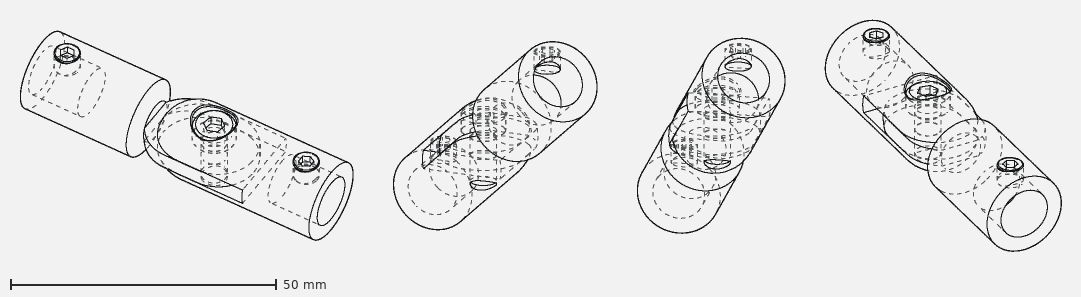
import cadquery as cq
import math

total_length = 63.9
bar_radius = 8.0
arc_middle = bar_radius * math.sqrt(0.5)

bore_radius = 5.0
bore_depth = 10.85
drill_point_angle = 140.0
drill_point_height = bore_radius / math.tan(math.radians(drill_point_angle / 2))

barrel_length = 25.0
shoulder_length = 1.55
shoulder_end_radius = 4.2
tongue_thickness = 3.5
tongue_near_centre_x = 31.75
tongue_far_centre_x = 39.0

nose_centre_x = 34.55
slot_width = 3.7
slot_end_x = 49.05

pivot_x = 38.0
pivot_shank_radius = 2.5
pivot_shank_bottom_z = -7.0
pivot_head_radius = 4.15
pivot_head_chamfer = 0.65
pivot_head_top_z = 6.65
pivot_head_height = 3.5
counterbore_radius = 4.2
counterbore_edge_chamfer = 0.29
counterbore_floor_z = pivot_head_top_z - pivot_head_height
pivot_hex_flats = 3.5
pivot_hex_depth = 1.9
pivot_hex_turn = 20.0

set_screw_end_distance = 5.5
set_screw_radius = 2.5
set_screw_chamfer = 0.2
set_screw_top_z = 8.05
set_screw_bottom_z = 4.3
set_screw_hex_flats = 2.5
set_screw_hex_depth = 1.6
set_screws = [
    (set_screw_end_distance, 0.0),
    (total_length - set_screw_end_distance, 30.0),
]


def turned_about_x(half_profile):
    """Solid of revolution from a half profile whose ends lie on the X axis."""
    return half_profile.close().revolve(360, (0, 0, 0), (1, 0, 0))


def post_along_z(x, bottom_z, top_z, radius):
    return cq.Workplane("XY").workplane(offset=bottom_z).center(x, 0).circle(radius).extrude(top_z - bottom_z)


def slab_along_x(start_x, end_x, thickness):
    """Slab as wide as the bar, centred on the bar's axis in Y and Z."""
    slab = cq.Workplane("XY").box(end_x - start_x, 2 * bar_radius, thickness, centered=(False, True, True))
    return slab.translate((start_x, 0, 0))


def round_nose(centre_x):
    """Half profile that starts at the tip of a ball centred on the axis and rises to the bar's radius."""
    return (
        cq.Workplane("XY")
        .moveTo(centre_x - bar_radius, 0)
        .threePointArc((centre_x - arc_middle, arc_middle), (centre_x, bar_radius))
    )


def bore():
    """Blind bore from X = 0 towards +X, ending in a conical drill point."""
    return turned_about_x(
        cq.Workplane("XY")
        .lineTo(0, bore_radius)
        .lineTo(bore_depth, bore_radius)
        .lineTo(bore_depth + drill_point_height, 0)
    )


def set_screw_hole(x):
    """Radial hole from the bar's axis out through its upper side."""
    return post_along_z(x, 0, 2 * bar_radius, set_screw_radius)


def hex_socket(x, top_z, flats, depth, turn):
    """Hexagonal pocket downwards from top_z, turned about Z by the given degrees."""
    across_corners = flats * 2 / math.sqrt(3)
    return (
        cq.Workplane("XY")
        .polygon(6, across_corners)
        .extrude(-depth)
        .rotate((0, 0, 0), (0, 0, 1), turn)
        .translate((x, 0, top_z))
    )


def make_tongue_rod():
    barrel = turned_about_x(
        cq.Workplane("XY")
        .lineTo(0, bar_radius)
        .lineTo(barrel_length - shoulder_length, bar_radius)
        .lineTo(barrel_length, shoulder_end_radius)
        .lineTo(barrel_length, 0)
    )
    round_ended_bar = turned_about_x(
        round_nose(tongue_near_centre_x)
        .lineTo(tongue_far_centre_x, bar_radius)
        .threePointArc((tongue_far_centre_x + arc_middle, arc_middle), (tongue_far_centre_x + bar_radius, 0))
    )
    flat_start_x = barrel_length - shoulder_length / 2
    flat = slab_along_x(flat_start_x, total_length, tongue_thickness)
    tongue = round_ended_bar.intersect(flat)
    return (
        barrel.union(tongue)
        .cut(bore())
        .cut(set_screw_hole(set_screw_end_distance))
        .cut(post_along_z(pivot_x, -bar_radius, bar_radius, pivot_shank_radius))
    )


def make_fork_rod():
    body = turned_about_x(
        round_nose(nose_centre_x)
        .lineTo(total_length, bar_radius)
        .lineTo(total_length, 0)
    )
    slot = slab_along_x(0, slot_end_x, slot_width)
    end_bore = bore().mirror("YZ").translate((total_length, 0, 0))
    counterbored = body.cut(post_along_z(pivot_x, counterbore_floor_z, 2 * bar_radius, counterbore_radius))
    rim_reach = counterbore_radius + counterbore_edge_chamfer
    rim_box = cq.selectors.BoxSelector(
        (pivot_x - rim_reach, -rim_reach, counterbore_floor_z + counterbore_edge_chamfer),
        (pivot_x + rim_reach, rim_reach, 2 * bar_radius),
        boundingbox=True,
    )
    chamfered = counterbored.edges(rim_box).chamfer(counterbore_edge_chamfer)
    return (
        chamfered.cut(slot)
        .cut(end_bore)
        .cut(set_screw_hole(total_length - set_screw_end_distance))
        .cut(post_along_z(pivot_x, -bar_radius, bar_radius, pivot_shank_radius))
    )


def make_pivot_screw():
    head = post_along_z(pivot_x, counterbore_floor_z, pivot_head_top_z, pivot_head_radius)
    head = head.faces(">Z").chamfer(pivot_head_chamfer)
    shank = post_along_z(pivot_x, pivot_shank_bottom_z, counterbore_floor_z, pivot_shank_radius)
    socket = hex_socket(pivot_x, pivot_head_top_z, pivot_hex_flats, pivot_hex_depth, pivot_hex_turn)
    return head.union(shank).cut(socket)


def make_set_screw(x, hex_turn):
    body = post_along_z(x, set_screw_bottom_z, set_screw_top_z, set_screw_radius)
    body = body.faces(">Z").chamfer(set_screw_chamfer)
    return body.cut(hex_socket(x, set_screw_top_z, set_screw_hex_flats, set_screw_hex_depth, hex_turn))


tongue_rod = make_tongue_rod()
fork_rod = make_fork_rod()
pivot_screw = make_pivot_screw()
set_screw_solids = [make_set_screw(x, hex_turn).val() for x, hex_turn in set_screws]

result = cq.Compound.makeCompound(
    [tongue_rod.val(), fork_rod.val(), pivot_screw.val(), *set_screw_solids]
)